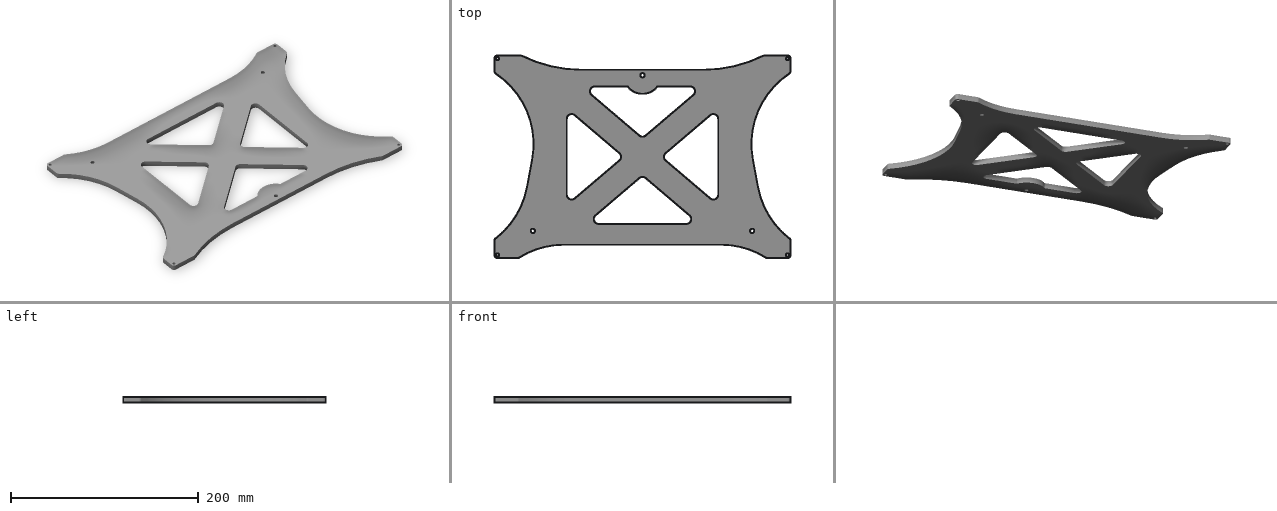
import cadquery as cq
import math

LENGTH = 316.0
WIDTH = 216.0
THICKNESS = 6.0
HALF_LENGTH = LENGTH / 2
HALF_WIDTH = WIDTH / 2
CORNER_RADIUS = 3.2

BACK_EDGE_Y = 93.0
BACK_STRAIGHT_HALF = 64.8
BACK_ARC_RADIUS = 144.5
FRONT_EDGE_Y = -94.0
FRONT_STRAIGHT_HALF = 83.7
FRONT_ARC_RADIUS = 90.0

WAIST_HALF = 116.3
WAIST_Y = 13.5
SIDE_ARC_RADIUS = 90.0
SIDE_SLANT = math.radians(10.5)
SIDE_LINE_RUN = 29.5

RIB_ANGLE = math.radians(40.4)
SIDE_WINDOW_TIP_X = 20.2
SIDE_WINDOW_BASE_X = 80.5
END_WINDOW_TIP_Y = 20.0
BACK_WINDOW_BASE_Y = 75.0
FRONT_WINDOW_BASE_Y = 71.5
WINDOW_RADIUS = 5.0

CORNER_HOLE_DIAMETER = 3.2
CORNER_HOLE_INSET = 3.5
MOUNT_HOLE_DIAMETER = 4.5
BACK_MOUNT_Y = 87.0
FRONT_MOUNT_X = 117.0
FRONT_MOUNT_Y = -79.0
LUG_RADIUS = 20.0


def circle_point(center, radius, angle):
    return (center[0] + radius * math.cos(angle), center[1] + radius * math.sin(angle))


def make_plate():
    """Plate outline: the right half is drawn, then mirrored across the YZ plane."""
    back_center = (BACK_STRAIGHT_HALF, BACK_EDGE_Y + BACK_ARC_RADIUS)
    back_end_angle = math.asin((HALF_WIDTH - back_center[1]) / BACK_ARC_RADIUS)
    back_mid_angle = (back_end_angle - math.pi / 2) / 2

    upper_center = (WAIST_HALF + SIDE_ARC_RADIUS, WAIST_Y)
    upper_start_angle = math.acos((HALF_LENGTH - upper_center[0]) / SIDE_ARC_RADIUS)
    upper_end_angle = math.pi + SIDE_SLANT
    upper_mid_angle = (upper_start_angle + upper_end_angle) / 2
    line_start = circle_point(upper_center, SIDE_ARC_RADIUS, upper_end_angle)

    line_end = (line_start[0] + SIDE_LINE_RUN * math.tan(SIDE_SLANT), line_start[1] - SIDE_LINE_RUN)
    lower_center = circle_point(line_end, SIDE_ARC_RADIUS, SIDE_SLANT)
    lower_end_angle = 2 * math.pi - math.acos((HALF_LENGTH - lower_center[0]) / SIDE_ARC_RADIUS)
    lower_mid_angle = (upper_end_angle + lower_end_angle) / 2

    front_center = (FRONT_STRAIGHT_HALF, FRONT_EDGE_Y - FRONT_ARC_RADIUS)
    front_start_angle = math.asin((-HALF_WIDTH - front_center[1]) / FRONT_ARC_RADIUS)
    front_mid_angle = (front_start_angle + math.pi / 2) / 2

    half = (
        cq.Workplane("XY")
        .moveTo(0, BACK_EDGE_Y)
        .lineTo(BACK_STRAIGHT_HALF, BACK_EDGE_Y)
        .threePointArc(
            circle_point(back_center, BACK_ARC_RADIUS, back_mid_angle),
            circle_point(back_center, BACK_ARC_RADIUS, back_end_angle),
        )
        .lineTo(HALF_LENGTH, HALF_WIDTH)
        .lineTo(*circle_point(upper_center, SIDE_ARC_RADIUS, upper_start_angle))
        .threePointArc(circle_point(upper_center, SIDE_ARC_RADIUS, upper_mid_angle), line_start)
        .lineTo(*line_end)
        .threePointArc(
            circle_point(lower_center, SIDE_ARC_RADIUS, lower_mid_angle),
            circle_point(lower_center, SIDE_ARC_RADIUS, lower_end_angle),
        )
        .lineTo(HALF_LENGTH, -HALF_WIDTH)
        .lineTo(*circle_point(front_center, FRONT_ARC_RADIUS, front_start_angle))
        .threePointArc(
            circle_point(front_center, FRONT_ARC_RADIUS, front_mid_angle),
            (FRONT_STRAIGHT_HALF, FRONT_EDGE_Y),
        )
        .lineTo(0, FRONT_EDGE_Y)
        .close()
        .extrude(THICKNESS)
    )

    for foot_face in (">X", ">Y", "<Y"):
        half = half.faces(foot_face).edges("|Z").edges(cq.selectors.BoxSelector(
            (BACK_STRAIGHT_HALF, -LENGTH, -THICKNESS), (LENGTH, LENGTH, 2 * THICKNESS)
        )).fillet(CORNER_RADIUS)
    return half.union(half.mirror("YZ")).clean()


def make_window(corners):
    return cq.Workplane("XY").polyline(corners).close().extrude(THICKNESS).edges("|Z").fillet(WINDOW_RADIUS)


def side_window(side):
    half_height = (SIDE_WINDOW_BASE_X - SIDE_WINDOW_TIP_X) * math.tan(RIB_ANGLE)
    base_x = side * SIDE_WINDOW_BASE_X
    return make_window([(side * SIDE_WINDOW_TIP_X, 0), (base_x, half_height), (base_x, -half_height)])


def end_window(side, base_distance):
    half_base = (base_distance - END_WINDOW_TIP_Y) / math.tan(RIB_ANGLE)
    base_y = side * base_distance
    return make_window([(0, side * END_WINDOW_TIP_Y), (half_base, base_y), (-half_base, base_y)])


def cut_holes(body, points, diameter):
    return body.cut(cq.Workplane("XY").pushPoints(points).circle(diameter / 2).extrude(THICKNESS))


result = make_plate()

lug = cq.Workplane("XY").center(0, BACK_MOUNT_Y).circle(LUG_RADIUS).extrude(THICKNESS)
result = result.cut(end_window(1, BACK_WINDOW_BASE_Y).cut(lug))
result = result.cut(end_window(-1, FRONT_WINDOW_BASE_Y))
for side in (-1, 1):
    result = result.cut(side_window(side))

corner_hole_x = HALF_LENGTH - CORNER_HOLE_INSET
corner_hole_y = HALF_WIDTH - CORNER_HOLE_INSET
corner_holes = [(sx * corner_hole_x, sy * corner_hole_y) for sx in (-1, 1) for sy in (-1, 1)]
mount_holes = [(0, BACK_MOUNT_Y), (-FRONT_MOUNT_X, FRONT_MOUNT_Y), (FRONT_MOUNT_X, FRONT_MOUNT_Y)]
result = cut_holes(result, corner_holes, CORNER_HOLE_DIAMETER)
result = cut_holes(result, mount_holes, MOUNT_HOLE_DIAMETER)